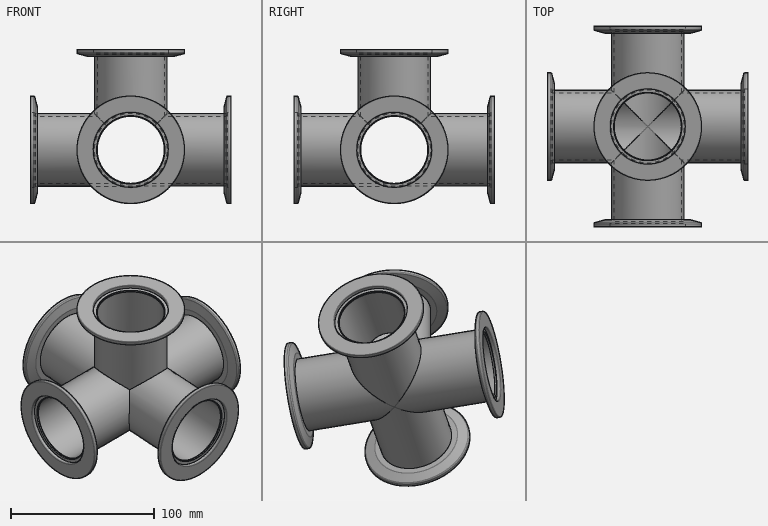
import cadquery as cq
import math

OVERALL_LENGTH = 140.0
PORT_REACH = OVERALL_LENGTH / 2

TUBE_OUTER_DIAMETER = 50.8
TUBE_BORE_DIAMETER = 46.8

FLANGE_DIAMETER = 75.0
FLANGE_THICKNESS = 5.0
FLANGE_BORE_DIAMETER = 47.7
BACK_FACE_DIAMETER = 59.4
CONE_ANGLE = 15.0
RIM_FILLET = 1.0
RECESS_DIAMETER = 52.4
RECESS_DEPTH = 2.5
SOCKET_SHOULDER = 1.1
EDGE_BREAK = 0.3

SOCKET_TOP = RECESS_DEPTH + SOCKET_SHOULDER
TUBE_REACH = PORT_REACH - SOCKET_TOP

PORT_DIRECTIONS = [(1, 0, 0), (-1, 0, 0), (0, 1, 0), (0, -1, 0), (0, 0, 1)]


def port_cylinders(diameter, length):
    """Union of one cylinder per port, all starting at the origin."""
    origin = cq.Vector(0, 0, 0)
    cylinders = cq.Workplane()
    for direction in PORT_DIRECTIONS:
        arm = cq.Solid.makeCylinder(diameter / 2, length, origin, cq.Vector(*direction))
        cylinders = cylinders.union(cq.Workplane(arm))
    return cylinders


def make_cross_tube():
    """Five-way tube with mitred outer walls and mitred bores."""
    outside = port_cylinders(TUBE_OUTER_DIAMETER, TUBE_REACH)
    bores = port_cylinders(TUBE_BORE_DIAMETER, TUBE_REACH)
    return outside.cut(bores)


def make_flange(direction):
    """Clamp flange whose sealing face looks along the port direction."""
    rim_radius = FLANGE_DIAMETER / 2
    back_radius = BACK_FACE_DIAMETER / 2
    bore_radius = FLANGE_BORE_DIAMETER / 2
    socket_radius = TUBE_OUTER_DIAMETER / 2
    recess_radius = RECESS_DIAMETER / 2
    cone_height = (rim_radius - back_radius) * math.tan(math.radians(CONE_ANGLE))

    half_section = [
        (recess_radius, 0),
        (rim_radius, 0),
        (rim_radius, FLANGE_THICKNESS - cone_height),
        (back_radius, FLANGE_THICKNESS),
        (socket_radius, FLANGE_THICKNESS),
        (socket_radius, SOCKET_TOP),
        (bore_radius, SOCKET_TOP),
        (bore_radius, RECESS_DEPTH),
        (recess_radius, RECESS_DEPTH),
    ]
    face_plane = cq.Plane(cq.Vector(*direction) * PORT_REACH, normal=direction)
    section = [(radius, -depth) for radius, depth in half_section]
    flange = cq.Workplane("XZ").polyline(section).close().revolve(360, (0, 0), (0, 1))
    rim_edges = cq.selectors.RadiusNthSelector(-1)
    flange = flange.edges(rim_edges).edges("<Z").fillet(RIM_FILLET)
    flange = flange.faces(">Z").edges("%CIRCLE").fillet(EDGE_BREAK)
    return flange.val().moved(cq.Location(face_plane))


cross_tube = make_cross_tube()
flanges = [make_flange(direction) for direction in PORT_DIRECTIONS]

result = cq.Compound.makeCompound([cross_tube.val(), *flanges])